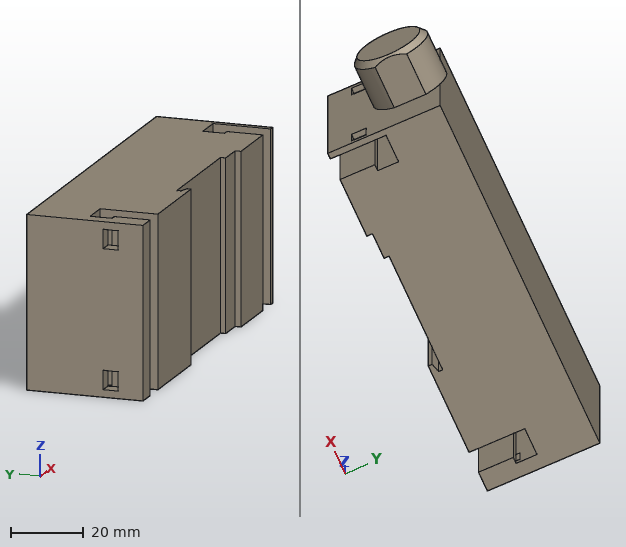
import cadquery as cq

overall_length = 121.8
housing_length = 107.2
housing_depth = 33.9
housing_width = 50.1

slot_depth = 16.8
slot_lip_height = 10.5
slot_lip_overhang = 1.9
left_wall = 4.1
left_slot_end = 12.3
right_slot_start = 97.0
right_wall = 1.8

rail_lip_end = 39.7
rail_undercut_start = 37.1
rail_floor_end = 73.1
rail_step_end = 80.9
rail_depth = 3.2
rail_step_depth = 1.7
rail_lip_root_height = 2.0
rail_lip_tip_height = 1.2

window_low_y = 7.2
window_high_y = 11.6
window_width = 5.5
window_margin = 2.2

connector_diameter = 22.15
connector_across_flats = 20.0
connector_chamfer_length = 1.8
connector_end_diameter = 18.95
connector_length = overall_length - housing_length
connector_protrusion = 2.01
connector_y = housing_depth + connector_protrusion - connector_diameter / 2
connector_z = housing_width / 2


def prism(points):
    """Outline in the XY plane, extruded over the full housing width."""
    return cq.Workplane("XY").polyline(points).close().extrude(housing_width)


def stepped_slot(start, end):
    """Slot from the rail side that widens toward its start above a lip."""
    lip_end = start + slot_lip_overhang
    return prism([
        (lip_end, 0),
        (end, 0),
        (end, slot_depth),
        (start, slot_depth),
        (start, slot_lip_height),
        (lip_end, slot_lip_height),
    ])


def rail_recess():
    """Rail seat with a tapered hooked lip on one side and a step on the other."""
    return prism([
        (rail_lip_end, 0),
        (rail_step_end, 0),
        (rail_step_end, rail_step_depth),
        (rail_floor_end, rail_step_depth),
        (rail_floor_end, rail_depth),
        (rail_undercut_start, rail_depth),
        (rail_undercut_start, rail_lip_root_height),
        (rail_lip_end, rail_lip_tip_height),
    ])


def window(start_x, wall_thickness, start_z):
    """Rectangular opening through an end wall into its slot."""
    return cq.Workplane("XY").box(
        wall_thickness, window_high_y - window_low_y, window_width, centered=False
    ).translate((start_x, window_low_y, start_z))


def connector():
    """Cylinder along X with a conical end, trimmed to two flats facing up and down."""
    barrel_length = connector_length - connector_chamfer_length
    barrel = (
        cq.Workplane("YZ", origin=(housing_length, connector_y, connector_z))
        .circle(connector_diameter / 2)
        .extrude(barrel_length)
    )
    cone = (
        cq.Workplane("YZ", origin=(housing_length + barrel_length, connector_y, connector_z))
        .circle(connector_diameter / 2)
        .workplane(offset=connector_chamfer_length)
        .circle(connector_end_diameter / 2)
        .loft(combine=True)
    )
    flats = cq.Workplane("XY").box(
        connector_length, connector_diameter, connector_across_flats
    ).translate((housing_length + connector_length / 2, connector_y, connector_z))
    return barrel.union(cone).intersect(flats)


right_slot_end = housing_length - right_wall
housing = cq.Workplane("XY").box(housing_length, housing_depth, housing_width, centered=False)
housing = housing.cut(stepped_slot(left_wall, left_slot_end))
housing = housing.cut(stepped_slot(right_slot_start, right_slot_end))
housing = housing.cut(rail_recess())

for window_z in (window_margin, housing_width - window_margin - window_width):
    housing = housing.cut(window(0, left_wall, window_z))
    housing = housing.cut(window(right_slot_end, right_wall, window_z))

result = housing.union(connector())